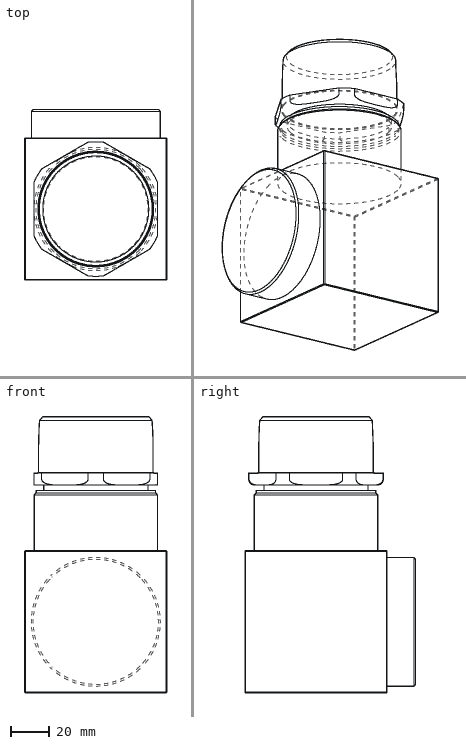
import cadquery as cq
import math

cube_side = 75.0
cube_edge_chamfer = 0.5

cover_diameter = 68.0
cover_length = 15.0
cover_chamfer = 1.0

sleeve_diameter = 65.0
sleeve_rim_diameter = 63.0
sleeve_top = 106.7
sleeve_shoulder_top = 105.4
sleeve_shoulder_height = (sleeve_diameter - sleeve_rim_diameter) / 2

neck_diameter = 55.0
hex_bottom = 109.5
hex_top = 115.7
hex_across_flats = sleeve_diameter
hex_corner_diameter = 70.9
hex_bottom_radius = 3.0
step_diameter = 61.0
step_height = 0.5
grip_diameter = 60.4
grip_top = 130.5
crown_diameter = 59.4
crown_chamfer = 2.0
face_diameter = 55.9
gland_top = 145.5


def make_housing():
    cube = cq.Workplane("XY").box(cube_side, cube_side, cube_side, centered=(True, True, False))
    return cube.edges().chamfer(cube_edge_chamfer)


def make_cover():
    cover = (
        cq.Workplane("XZ", origin=(0, cube_side / 2, cube_side / 2))
        .circle(cover_diameter / 2)
        .extrude(-cover_length)
    )
    return cover.faces(">Y").edges().chamfer(cover_chamfer)


def make_sleeve():
    outer = sleeve_diameter / 2
    rim = sleeve_rim_diameter / 2
    half_section = (
        cq.Workplane("XZ")
        .moveTo(0, cube_side)
        .lineTo(outer, cube_side)
        .lineTo(outer, sleeve_shoulder_top - sleeve_shoulder_height)
        .lineTo(rim, sleeve_shoulder_top)
        .lineTo(rim, sleeve_top)
        .lineTo(0, sleeve_top)
        .close()
    )
    return half_section.revolve(360, (0, 0, 0), (0, 1, 0))


def make_hex_flange():
    """Hexagon with flats on +/-X, its corners turned round and rounded over below."""
    height = hex_top - hex_bottom
    turned_disc = (
        cq.Workplane("XY", origin=(0, 0, hex_bottom))
        .circle(hex_corner_diameter / 2)
        .extrude(height)
        .faces("<Z")
        .edges()
        .fillet(hex_bottom_radius)
    )
    across_corners = hex_across_flats / math.cos(math.radians(30))
    hexagon = (
        cq.Workplane("XY", origin=(0, 0, hex_bottom))
        .transformed(rotate=(0, 0, 30))
        .polygon(6, across_corners)
        .extrude(height)
    )
    return hexagon.intersect(turned_disc)


def make_grip():
    """Step, straight grip and an end whose arc leaves the grip tangentially."""
    grip = grip_diameter / 2
    step = step_diameter / 2
    crown_top = gland_top - crown_chamfer
    half_section = (
        cq.Workplane("XZ")
        .moveTo(0, hex_top)
        .lineTo(step, hex_top)
        .lineTo(step, hex_top + step_height)
        .lineTo(grip, hex_top + step_height)
        .lineTo(grip, grip_top)
        .tangentArcPoint((crown_diameter / 2, crown_top), relative=False)
        .lineTo(face_diameter / 2, gland_top)
        .lineTo(0, gland_top)
        .close()
    )
    return half_section.revolve(360, (0, 0, 0), (0, 1, 0))


def make_gland():
    neck = (
        cq.Workplane("XY", origin=(0, 0, sleeve_top))
        .circle(neck_diameter / 2)
        .extrude(hex_bottom - sleeve_top)
    )
    return neck.union(make_hex_flange()).union(make_grip())


housing = make_housing()
cover = make_cover()
sleeve = make_sleeve()
gland = make_gland()

result = cq.Compound.makeCompound([housing.val(), cover.val(), sleeve.val(), gland.val()])